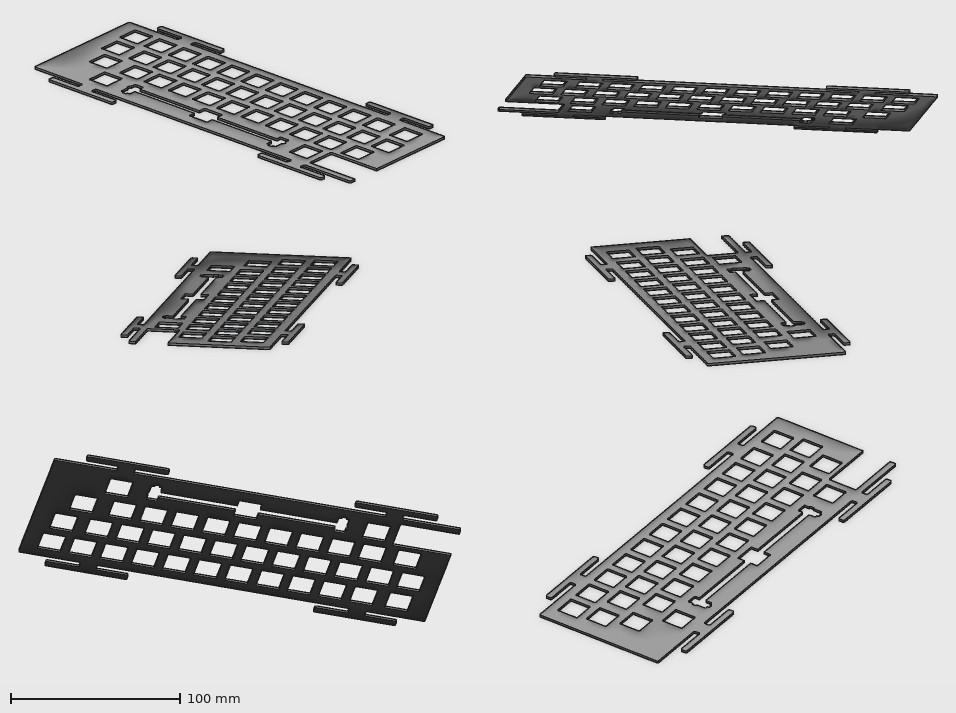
import cadquery as cq

THICKNESS = 1.5
PLATE_WIDTH = 248.0
PLATE_HEIGHT = 85.0
PLATE_RADIUS = 1.0
RIGHT_EDGE = PLATE_WIDTH / 2
TOP_EDGE = PLATE_HEIGHT / 2

OVERALL_HEIGHT = 101.0
WING_SPACING = 164.0
WING_MIDDLE_X = 1.04
WING_LENGTH = 50.0
WING_BAR = 4.0
WING_TIP_RADIUS = 1.0
NECK_WIDTH = 10.0
NECK_RADIUS = 1.0
WING_TOP = OVERALL_HEIGHT / 2
WING_CENTERS = [WING_MIDDLE_X + side * WING_SPACING / 2 for side in (-1, 1)]

BAY_LENGTH = 35.7
BAY_HEIGHT = 19.5
BAY_INNER_RADIUS = 1.0
ARM_WIDTH = 4.2

UNIT = 19.05
LEFT_MARGIN = 7.4
BOTTOM_ROW_MARGIN = 14.725
SWITCH_SIZE = 14.0
SWITCH_RADIUS = 0.5
SPACE_BAR_POSITION = 6.0
KEY_ROWS = [
    [1.875, SPACE_BAR_POSITION, 10.125],
    [1.0] + [2.25 + i for i in range(9)] + [11.375],
    [0.625] + [1.75 + i for i in range(11)],
    [0.5 + i for i in range(11)] + [11.625],
]
LAYOUT_LEFT = LEFT_MARGIN - RIGHT_EDGE
BOTTOM_ROW_Y = BOTTOM_ROW_MARGIN - TOP_EDGE

SPACE_BAR_UNITS = 7
STABILIZER_OFFSET = (SPACE_BAR_UNITS - 1) * UNIT / 2
POCKET_WIDTH = 6.65
POCKET_TOP = 5.6
POCKET_BOTTOM = -6.7
FOOT_WIDTH = 3.0
FOOT_BOTTOM = -7.97
SIDE_NOTCH_REACH = 4.25
SIDE_NOTCH_TOP = 2.2
SIDE_NOTCH_BOTTOM = -0.7
WIRE_CHANNEL_HEIGHT = 4.6
STABILIZER_RADIUS = 0.5


def slab(x_min, x_max, y_min, y_max):
    """Full-thickness rectangular block between the given limits."""
    block = cq.Workplane("XY").box(x_max - x_min, y_max - y_min, THICKNESS, centered=False)
    return block.translate((x_min, y_min, 0))


def round_corners(body, radius):
    """Round every upright edge of a body."""
    return body.edges("|Z").fillet(radius)


def key_x(position):
    """X of a key center given in key units."""
    return LAYOUT_LEFT + position * UNIT


def upper_wing(center_x):
    """Wing above the plate: a bar with rounded tips on a neck that flares into bar and plate."""
    half_bar = WING_LENGTH / 2
    half_neck = NECK_WIDTH / 2
    bar_bottom = WING_TOP - WING_BAR
    bar = round_corners(
        slab(center_x - half_bar, center_x + half_bar, bar_bottom, WING_TOP),
        WING_TIP_RADIUS,
    )
    neck = slab(center_x - half_neck, center_x + half_neck, TOP_EDGE, bar_bottom)
    root = slab(center_x - half_bar, center_x + half_bar, TOP_EDGE - WING_BAR, TOP_EDGE)
    around_neck = cq.selectors.BoxSelector(
        (center_x - NECK_WIDTH, 0, -THICKNESS),
        (center_x + NECK_WIDTH, WING_TOP, 2 * THICKNESS),
    )
    wing = bar.union(neck).union(root)
    return wing.edges("|Z").edges(around_neck).fillet(NECK_RADIUS)


def bay():
    """Cutter for the bay, rounded at its inner end."""
    bottom = ARM_WIDTH - TOP_EDGE
    cutter = slab(RIGHT_EDGE - BAY_LENGTH, RIGHT_EDGE, bottom, bottom + BAY_HEIGHT)
    return cutter.edges("|Z and <X").fillet(BAY_INNER_RADIUS)


def plate_blank():
    """Rounded plate with the open bay and its four wings."""
    plate = round_corners(slab(-RIGHT_EDGE, RIGHT_EDGE, -TOP_EDGE, TOP_EDGE), PLATE_RADIUS)
    plate = plate.cut(bay())
    for center_x in WING_CENTERS:
        wing = upper_wing(center_x)
        plate = plate.union(wing).union(wing.mirror("XZ"))
    return plate


def switch_openings():
    """Square switch openings with rounded corners, one for every key."""
    centers = [
        (key_x(position), BOTTOM_ROW_Y + row * UNIT)
        for row, positions in enumerate(KEY_ROWS)
        for position in positions
    ]
    openings = cq.Workplane("XY").pushPoints(centers).rect(SWITCH_SIZE, SWITCH_SIZE).extrude(THICKNESS)
    return round_corners(openings, SWITCH_RADIUS)


def stabilizer_opening():
    """Stabilizer pockets on both sides of the space bar, joined by the wire channel."""
    half_channel = WIRE_CHANNEL_HEIGHT / 2
    half_pocket = POCKET_WIDTH / 2
    half_foot = FOOT_WIDTH / 2
    pocket_centers = {side: side * STABILIZER_OFFSET for side in (-1, 1)}

    opening = slab(-STABILIZER_OFFSET, STABILIZER_OFFSET, -half_channel, half_channel)
    for x in pocket_centers.values():
        opening = opening.union(slab(x - half_pocket, x + half_pocket, POCKET_BOTTOM, POCKET_TOP))
    opening = round_corners(opening, STABILIZER_RADIUS)

    for side, x in pocket_centers.items():
        foot = slab(x - half_foot, x + half_foot, FOOT_BOTTOM, 0)
        notch_start, notch_end = sorted((x, x + side * SIDE_NOTCH_REACH))
        notch = slab(notch_start, notch_end, SIDE_NOTCH_BOTTOM, SIDE_NOTCH_TOP)
        for extension in (foot, notch):
            opening = opening.union(round_corners(extension, STABILIZER_RADIUS))
    return opening.translate((key_x(SPACE_BAR_POSITION), BOTTOM_ROW_Y, 0))


result = plate_blank().cut(switch_openings()).cut(stabilizer_opening())